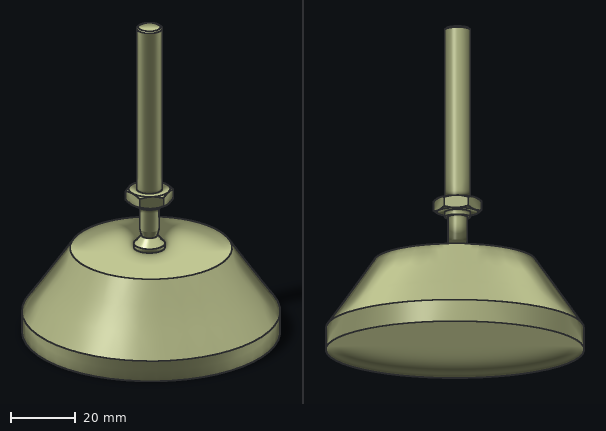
import cadquery as cq
import math

foot_diameter = 80.0
pad_height = 6.8
housing_top_diameter = 50.2
housing_top_z = 28.0

stud_x = -0.7
stud_y = 0.36
flange_diameter = 9.7
flange_top_z = 29.4
waist_diameter = 4.9
waist_z = 32.0
shank_diameter = 6.0
shank_bottom_z = 34.3
rod_diameter = 8.0
rod_bottom_z = 42.1
stud_top_z = 102.0
tip_chamfer = 0.5

nut_across_flats = 13.0
nut_bottom_z = 43.6
nut_height = 4.0
nut_face_diameter = 12.8
nut_chamfer_angle = 30.0


def make_pad():
    return cq.Workplane("XY").circle(foot_diameter / 2).extrude(pad_height)


def make_housing():
    """Solid cone frustum resting on the pad."""
    return (
        cq.Workplane("XY", origin=(0, 0, pad_height))
        .circle(foot_diameter / 2)
        .workplane(offset=housing_top_z - pad_height)
        .circle(housing_top_diameter / 2)
        .loft(ruled=True)
    )


def make_stud():
    """Revolved stud: flange, flared waist, shank and chamfered rod."""
    rod_radius = rod_diameter / 2
    profile = [
        (0, housing_top_z),
        (flange_diameter / 2, housing_top_z),
        (flange_diameter / 2, flange_top_z),
        (waist_diameter / 2, waist_z),
        (shank_diameter / 2, shank_bottom_z),
        (shank_diameter / 2, rod_bottom_z),
        (rod_radius, rod_bottom_z),
        (rod_radius, stud_top_z - tip_chamfer),
        (rod_radius - tip_chamfer, stud_top_z),
        (0, stud_top_z),
    ]
    stud = cq.Workplane("XZ").polyline(profile).close().revolve(360, (0, 0), (0, 1))
    return stud.translate((stud_x, stud_y, 0))


def make_nut():
    """Hexagonal nut whose corners are chamfered at both ends."""
    corner_radius = nut_across_flats / 2 / math.cos(math.radians(30))
    face_radius = nut_face_diameter / 2
    chamfer_drop = (corner_radius - face_radius) * math.tan(math.radians(nut_chamfer_angle))
    hexagon = (
        cq.Workplane("XY")
        .polygon(6, 2 * corner_radius)
        .extrude(nut_height)
        .rotate((0, 0, 0), (0, 0, 1), 30)
    )
    chamfer_envelope = (
        cq.Workplane("XZ")
        .polyline([
            (0, 0),
            (face_radius, 0),
            (corner_radius, chamfer_drop),
            (corner_radius, nut_height - chamfer_drop),
            (face_radius, nut_height),
            (0, nut_height),
        ])
        .close()
        .revolve(360, (0, 0), (0, 1))
    )
    bore = cq.Workplane("XY").circle(rod_diameter / 2).extrude(nut_height)
    nut = hexagon.intersect(chamfer_envelope).cut(bore)
    return nut.translate((stud_x, stud_y, nut_bottom_z))


pad = make_pad()
housing = make_housing()
stud = make_stud()
nut = make_nut()

result = cq.Compound.makeCompound([pad.val(), housing.val(), stud.val(), nut.val()])